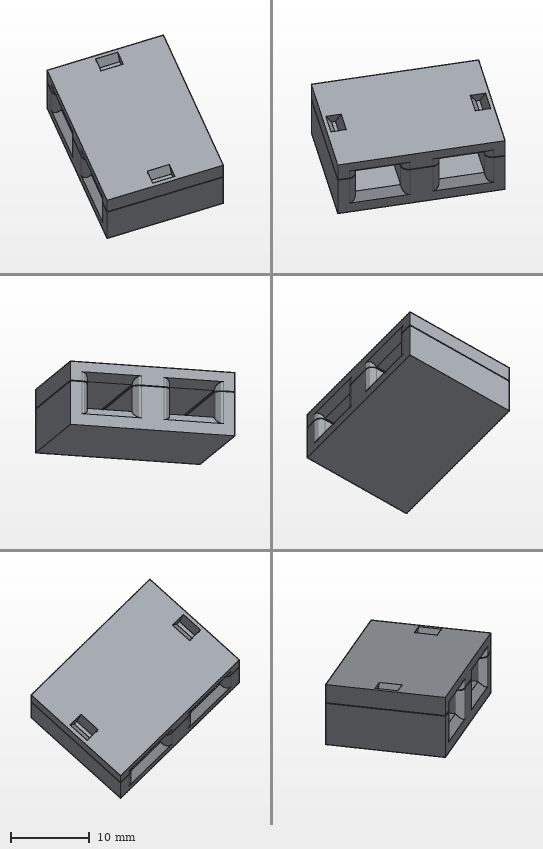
import cadquery as cq
import math

width = 21.8
depth = 15.8
height = 8.3

lid_thickness = 2.5
lid_gap = 0.1
lid_bottom = height - lid_thickness
base_height = lid_bottom - lid_gap

side_wall = 2.5
middle_wall = 5.0
channel_width = (width - 2 * side_wall - middle_wall) / 2
channel_offset = (channel_width + middle_wall) / 2
floor_thickness = 2.5
roof_thickness = 2.3
channel_top = height - roof_thickness
flare = 1.0

pocket_length = 2.0
pocket_floor_length = 0.5
pocket_width = 3.0
pocket_depth = 1.1
pocket_edge_distance = 0.5
pocket_offset = width / 2 - pocket_edge_distance - pocket_length / 2


def channel_plan(x_center):
    """Channel seen from above: straight sides that round outwards at the mouths, full block height."""
    half_width = channel_width / 2
    half_mouth = half_width + flare
    half_depth = depth / 2
    straight_end = half_depth - flare
    arc_x = half_mouth - flare * math.cos(math.pi / 4)
    arc_y = straight_end + flare * math.sin(math.pi / 4)
    return (
        cq.Workplane("XY")
        .moveTo(-half_width, -straight_end)
        .lineTo(-half_width, straight_end)
        .threePointArc((-arc_x, arc_y), (-half_mouth, half_depth))
        .lineTo(half_mouth, half_depth)
        .threePointArc((arc_x, arc_y), (half_width, straight_end))
        .lineTo(half_width, -straight_end)
        .threePointArc((arc_x, -arc_y), (half_mouth, -half_depth))
        .lineTo(-half_mouth, -half_depth)
        .threePointArc((-arc_x, -arc_y), (-half_width, -straight_end))
        .close()
        .extrude(height)
        .translate((x_center, 0, 0))
    )


def channel_section():
    """Channel seen from the side: flat floor and roof with sloped mouths, full block width."""
    half_depth = depth / 2
    straight_end = half_depth - flare
    return (
        cq.Workplane("YZ")
        .polyline([
            (-half_depth, floor_thickness - flare),
            (-straight_end, floor_thickness),
            (straight_end, floor_thickness),
            (half_depth, floor_thickness - flare),
            (half_depth, channel_top + flare),
            (straight_end, channel_top),
            (-straight_end, channel_top),
            (-half_depth, channel_top + flare),
        ])
        .close()
        .extrude(width / 2, both=True)
    )


def cut_channels(body):
    """Cut the part of both channels that passes through the given body."""
    for side in (-1, 1):
        body = body.cut(channel_plan(side * channel_offset).intersect(channel_section()))
    return body


def slab(bottom, thickness):
    """Plain rectangular plate with the full outline of the block."""
    return cq.Workplane("XY").workplane(offset=bottom).rect(width, depth).extrude(thickness)


def lid_pocket(x_center):
    """Trapezoidal pocket: its two X walls slope in to a narrow floor, its Y walls are upright."""
    pocket_bottom = height - pocket_depth
    return (
        cq.Workplane("XZ")
        .polyline([
            (-pocket_length / 2, height),
            (pocket_length / 2, height),
            (pocket_floor_length / 2, pocket_bottom),
            (-pocket_floor_length / 2, pocket_bottom),
        ])
        .close()
        .extrude(pocket_width / 2, both=True)
        .translate((x_center, 0, 0))
    )


def make_base():
    return cut_channels(slab(0, base_height))


def make_lid():
    lid = cut_channels(slab(lid_bottom, lid_thickness))
    for side in (-1, 1):
        lid = lid.cut(lid_pocket(side * pocket_offset))
    return lid


base = make_base()
lid = make_lid()

result = cq.Compound.makeCompound([base.val(), lid.val()])